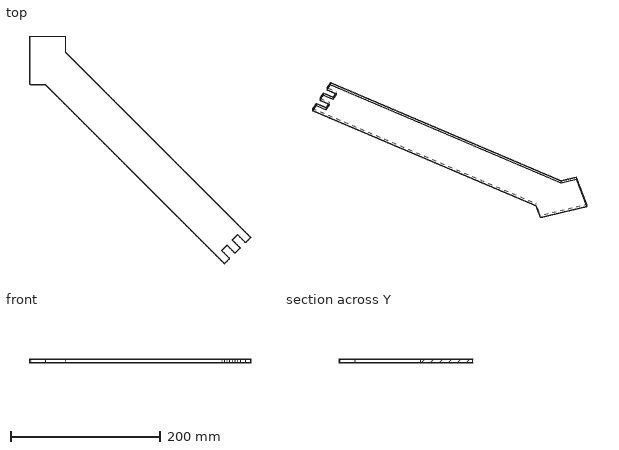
import cadquery as cq
import math

overall_x = 296.5
overall_y = 305.0
thickness = 5.0

head_width = 48.2
head_height = 65.0
corner_radius = 1.5

arm_width = 50.0
arm_angle = -45.0
arm_offset = arm_width / math.sqrt(2)

slot_count = 2
slot_depth = 15.0
tooth_width = arm_width / (2 * slot_count + 1)

end_right = (overall_x, arm_offset - overall_y)
end_bottom = (overall_x - arm_offset, -overall_y)
end_center = (overall_x - arm_offset / 2, arm_offset / 2 - overall_y)

upper_neck = (head_width, end_right[1] + end_right[0] - head_width)
lower_neck = (end_bottom[0] + end_bottom[1] + head_height, -head_height)


def make_plate():
    """Head and arm as one flat plate with a rounded outer head corner."""
    plate = (
        cq.Workplane("XY")
        .moveTo(0, 0)
        .lineTo(head_width, 0)
        .lineTo(*upper_neck)
        .lineTo(*end_right)
        .lineTo(*end_bottom)
        .lineTo(*lower_neck)
        .lineTo(0, -head_height)
        .close()
        .extrude(thickness)
    )
    corner = cq.selectors.NearestToPointSelector((0, -head_height, thickness / 2))
    return plate.edges(corner).fillet(corner_radius)


def make_slots():
    """Slot cutters, centred on the end edge so half their length cuts the arm."""
    return (
        cq.Workplane("XY", origin=(*end_center, 0))
        .transformed(rotate=(0, 0, arm_angle))
        .rarray(3, 2 * tooth_width, 1, slot_count)
        .rect(2 * slot_depth, tooth_width)
        .extrude(thickness)
    )


result = make_plate().cut(make_slots())